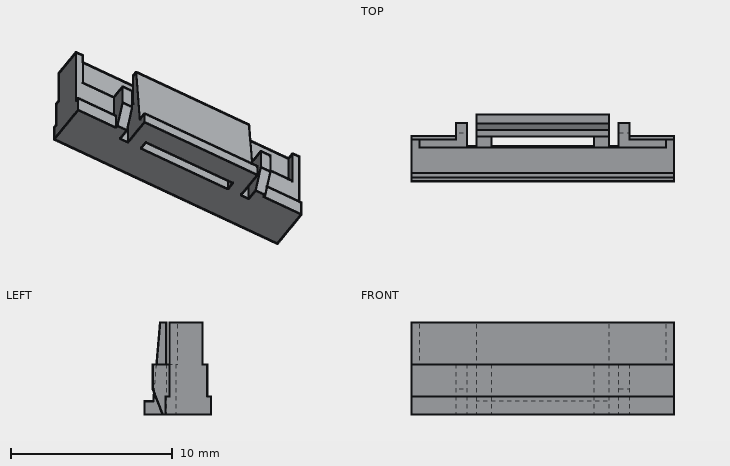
import cadquery as cq

length = 16.25
depth = 4.15
height = 5.7

foot_height = 1.12
shoulder_height = 3.1
foot_back = 2.83
foot_step = 0.25
upper_front = 0.54
body_back = foot_back - foot_step

end_wall = 0.49
recess_face = 2.1
channel_face = 2.2

ear_outer_x = 5.38
ear_width = 0.7
ear_back = 3.62
ear_base_back = 3.0
ear_slope_height = 1.6
ear_inner_x = ear_outer_x - ear_width

latch_length = 8.22
latch_front = 2.78
latch_top_back = 3.17
latch_bottom_back = 3.59
lip_height = 0.83
arm_width = 0.95


def extrude_profile(points, x_start, width):
    """Extrude a closed (Y, Z) outline along +X."""
    return cq.Workplane("YZ").workplane(offset=x_start).polyline(points).close().extrude(width)


def box(x_start, width, y_start, y_end, z_start, z_end):
    return cq.Workplane("XY").box(width, y_end - y_start, z_end - z_start, centered=False).translate(
        (x_start, y_start, z_start)
    )


def make_body():
    profile = [
        (0, 0),
        (foot_back, 0),
        (foot_back, foot_height),
        (body_back, foot_height),
        (body_back, height),
        (upper_front, height),
        (upper_front, shoulder_height),
        (foot_step, shoulder_height),
        (foot_step, foot_height),
        (0, foot_height),
    ]
    body = extrude_profile(profile, -length / 2, length)
    recess_length = length - 2 * end_wall
    recess = box(-recess_length / 2, recess_length, recess_face, depth, shoulder_height, height)
    channel = box(-ear_inner_x, 2 * ear_inner_x, channel_face, depth, 0, shoulder_height)
    return body.cut(recess).cut(channel)


def make_ear(x_start):
    profile = [
        (channel_face, 0),
        (ear_base_back, 0),
        (ear_back, ear_slope_height),
        (ear_back, shoulder_height),
        (channel_face, shoulder_height),
    ]
    return extrude_profile(profile, x_start, ear_width)


def make_latch():
    profile = [
        (latch_front, 0),
        (depth, 0),
        (depth, lip_height),
        (latch_bottom_back, lip_height),
        (latch_top_back, height),
        (latch_front, height),
    ]
    latch = extrude_profile(profile, -latch_length / 2, latch_length)
    for arm_x in (-latch_length / 2, latch_length / 2 - arm_width):
        latch = latch.union(box(arm_x, arm_width, channel_face, latch_front, 0, shoulder_height))
    return latch


result = make_body()
for ear_x in (-ear_outer_x, ear_inner_x):
    result = result.union(make_ear(ear_x))
result = result.union(make_latch())